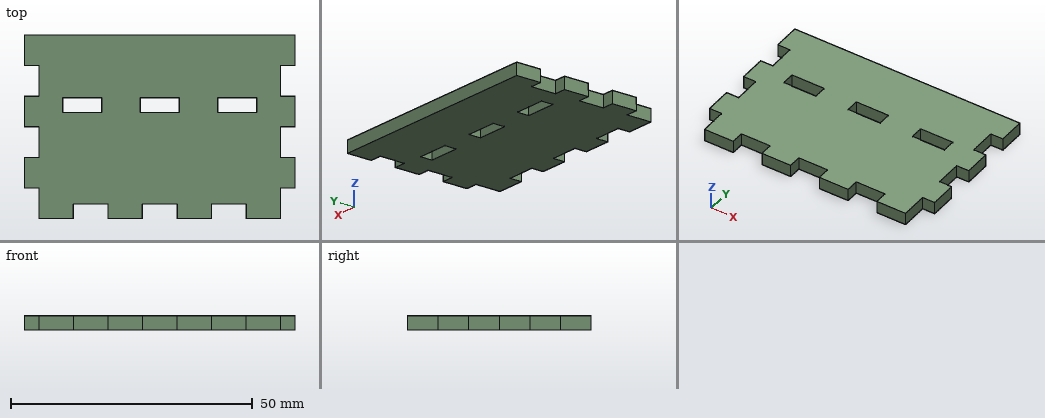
import cadquery as cq

length = 56.0
width = 38.0
thickness = 3.0

finger_depth = thickness
body_length = length - 2 * finger_depth
side_segments = 6
side_pitch = width / side_segments
front_segments = 7
front_pitch = body_length / front_segments

slot_count = 3
slot_length = 8.0
slot_width = thickness
slot_spacing = 16.0
slot_back_margin = 13.0
slot_y = width / 2 - slot_back_margin - slot_width / 2


def make_plate():
    return cq.Workplane("XY").box(length, width, thickness, centered=(True, True, False))


def cut_boxes(plate, centres, size_x, size_y):
    """Cut a rectangle through the plate at each centre."""
    cutters = cq.Workplane("XY").pushPoints(centres).rect(size_x, size_y).extrude(thickness)
    return plate.cut(cutters)


def cut_side_notches(plate):
    """Every second segment of both ends, counted from the front, is cut away."""
    notch_x = (length - finger_depth) / 2
    centres = []
    for segment in range(0, side_segments, 2):
        y = -width / 2 + (segment + 0.5) * side_pitch
        centres += [(-notch_x, y), (notch_x, y)]
    return cut_boxes(plate, centres, finger_depth, side_pitch)


def cut_front_notches(plate):
    """Every second segment of the front edge is cut away, leaving a finger at each end."""
    notch_y = -(width - finger_depth) / 2
    centres = []
    for segment in range(1, front_segments, 2):
        x = -body_length / 2 + (segment + 0.5) * front_pitch
        centres.append((x, notch_y))
    return cut_boxes(plate, centres, front_pitch, finger_depth)


def cut_slots(plate):
    """An evenly spaced row of through slots, centred along the length."""
    first_x = -(slot_count - 1) / 2 * slot_spacing
    centres = [(first_x + i * slot_spacing, slot_y) for i in range(slot_count)]
    return cut_boxes(plate, centres, slot_length, slot_width)


result = cut_slots(cut_front_notches(cut_side_notches(make_plate())))